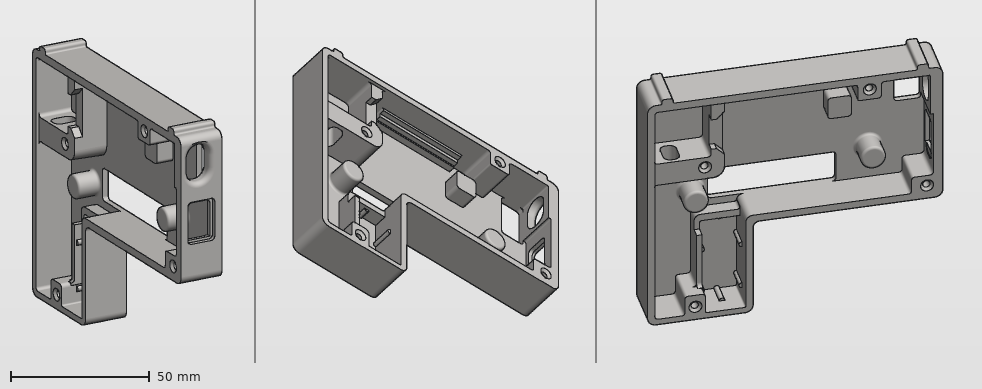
import cadquery as cq
import math


width = 109.6
body_height = 95.3
tab_top = 97.41
depth = 16.97
back_thickness = 2.4
floor_y = depth - back_thickness

leg_width = 39.2
arm_bottom = 39.0
outer_radius = 3.1
elbow_radius = 2.3

left_inner = 2.7
bottom_inner = 2.37
top_inner = 92.25
leg_right_inner = 36.5
arm_bottom_inner = 41.93
right_inner_upper = 104.9
right_inner_lower = 106.15
right_wall_step_z = 75.35
elbow_inner_radius = 2.5
large_inner_radius = 1.5
inner_radius = 1.2
small_inner_radius = 0.6

leg_boss_left, leg_boss_right, leg_boss_top = 13.8, 21.5, 10.56
arm_boss_left, arm_boss_top = 97.95, 48.9
top_boss_left, top_boss_right, top_boss_bottom = 78.0, 86.75, 85.4

screw_mouth_radius = 2.4
screw_bore_radius = 1.35
screw_mouth_depth = 1.05
screw_blind_depth = 9.0
screw_tip_depth = 0.8

box_front = 1.3
box_right = 28.87
box_bottom_front = 59.7
box_bottom_back = 58.8
box_corner_start_z = 64.1
box_flare = 1.1
box_pocket_right, box_pocket_bottom = 23.9, 68.9
box_pocket_radius = 1.4
notch_y = 4.6
notch_bottom, notch_top = 72.15, 84.9
notch_straight_end = 25.9
cable_slot_x = (7.0, 13.0)
cable_slot_y = (2.8, 12.0)
cable_slot_radius = 2.5

screw_holes = (
    (17.73, 5.57, 0, False),
    (103.7, 44.6, 0, False),
    (82.46, 89.7, 0, True),
    (21.64, 64.7, box_front, True),
)

partition_left = 19.5
partition_top, partition_inner_top = 39.0, 36.2
partition_outer_radius, partition_inner_radius = 2.5, 0.9
partition_low_y = 9.3
partition_high_y = 5.4
partition_high_top = 32.7
partition_flare = 1.0
partition_foot_radius = 1.4
rib_radius = 1.05
rib_front = 6.2
short_rib_front = 10.5
rib_heights = (7.9, 25.7)
rib_centre_x = 29.1

peg_centres = ((19.53, 46.67), (85.28, 55.57))
peg_radius = 4.6
peg_blend = 1.0
peg_tip_y = 5.75
pad_left, pad_right, pad_bottom, pad_top = 68.8, 77.65, 73.75, 82.7
pad_front, pad_radius = 8.0, 1.4

ledge_left, ledge_right = 34.85, 70.8
ledge_end_flare = 0.4
ledge_steps = ((91.1, 8.0), (89.6, 10.0), (88.8, 12.0))

window_radius = 1.3
display_window = (25.8, 73.4, arm_bottom_inner, 54.55)
corner_window = (94.95, right_inner_upper, 73.1, top_inner)
side_hole_y, side_hole_radius = 7.5, 4.6
side_hole_centres_z = (81.9, 87.0)
side_hole_outer_blend = 2.0
port_y = (3.9, 12.95)
port_z = (55.2, 69.4)
port_radius = 1.5
port_plate_thickness = 1.65
port_outer_margin = 1.0
port_recess_y = (3.9, 11.5)
port_recess_bottom = 52.2
port_recess_radius = 2.4
port_recess_depth = 0.3

weld = 1.0
coincident = 1e-6

tab_width = 4.2
tab_centre_offset = 7.4
tab_tip_radius = 1.0
tab_base_radius = 0.65


def rounded_outline(corners, y):
    """Closed wire of (x, z, radius) corners in the XZ plane at the given y."""
    count = len(corners)
    ends = []
    for i, (x, z, radius) in enumerate(corners):
        x_prev, z_prev, _ = corners[i - 1]
        x_next, z_next, _ = corners[(i + 1) % count]
        to_prev = math.atan2(z_prev - z, x_prev - x)
        to_next = math.atan2(z_next - z, x_next - x)
        half = abs(math.remainder(to_next - to_prev, 2 * math.pi)) / 2
        setback = radius / math.tan(half)
        start = (x + setback * math.cos(to_prev), z + setback * math.sin(to_prev))
        end = (x + setback * math.cos(to_next), z + setback * math.sin(to_next))
        bisector = to_prev + math.remainder(to_next - to_prev, 2 * math.pi) / 2
        reach = radius / math.sin(half) - radius
        middle = (x + reach * math.cos(bisector), z + reach * math.sin(bisector))
        ends.append((radius, start, middle, end))
    sketch = cq.Workplane("XZ", origin=(0, y, 0)).moveTo(*ends[0][3])
    last = ends[0][3]
    for radius, start, middle, end in ends[1:] + ends[:1]:
        if math.dist(last, start) > coincident:
            sketch = sketch.lineTo(*start)
        last = end
        if radius > 0:
            sketch = sketch.threePointArc(middle, end)
    return sketch.close()


def prism(corners, y_front, y_back):
    """Rounded outline extruded towards +Y from y_front to y_back."""
    return rounded_outline(corners, y_front).extrude(y_front - y_back)


def block(x0, x1, z0, z1, y_front, y_back, radius=0):
    corners = [(x0, z0, radius), (x1, z0, radius), (x1, z1, radius), (x0, z1, radius)]
    return prism(corners, y_front, y_back)


def cylinder_y(x, z, radius, y_front, y_back):
    start = cq.Workplane("XZ", origin=(x, y_front, z))
    return start.circle(radius).extrude(y_front - y_back)


def shell():
    """Outer walls and back plate, with three of the screw bosses in the walls."""
    outer = prism([
        (0, 0, outer_radius),
        (leg_width, 0, outer_radius),
        (leg_width, arm_bottom, elbow_radius),
        (width, arm_bottom, outer_radius),
        (width, body_height, outer_radius),
        (0, body_height, outer_radius),
    ], 0, depth)
    cavity = prism([
        (left_inner, bottom_inner, inner_radius),
        (leg_boss_left, bottom_inner, inner_radius),
        (leg_boss_left, leg_boss_top, inner_radius),
        (leg_boss_right, leg_boss_top, large_inner_radius),
        (leg_boss_right, bottom_inner, small_inner_radius),
        (leg_right_inner, bottom_inner, small_inner_radius),
        (leg_right_inner, arm_bottom_inner, elbow_inner_radius),
        (arm_boss_left, arm_bottom_inner, inner_radius),
        (arm_boss_left, arm_boss_top, inner_radius),
        (right_inner_lower, arm_boss_top, large_inner_radius),
        (right_inner_lower, right_wall_step_z, small_inner_radius),
        (right_inner_upper, right_wall_step_z, 0),
        (right_inner_upper, top_inner, small_inner_radius),
        (top_boss_right, top_inner, inner_radius),
        (top_boss_right, top_boss_bottom, inner_radius),
        (top_boss_left, top_boss_bottom, small_inner_radius),
        (top_boss_left, top_inner, inner_radius),
        (left_inner, top_inner, inner_radius),
    ], 0, floor_y)
    return outer.cut(cavity)


def tab(centre_x):
    left = centre_x - tab_width / 2
    right = centre_x + tab_width / 2
    root = body_height - weld
    return prism([
        (left - tab_base_radius, root, 0),
        (right + tab_base_radius, root, 0),
        (right + tab_base_radius, body_height, 0),
        (right, body_height, tab_base_radius),
        (right, tab_top, tab_tip_radius),
        (left, tab_top, tab_tip_radius),
        (left, body_height, tab_base_radius),
        (left - tab_base_radius, body_height, 0),
    ], 0, depth)


def corner_box():
    """Compartment block whose underside slopes down towards the back plate."""
    def outline(y, bottom):
        return rounded_outline([
            (left_inner - weld, top_inner + weld, 0),
            (left_inner - weld, bottom - box_flare, 0),
            (left_inner, bottom - box_flare, 0),
            (left_inner, bottom, box_flare),
            (box_right, bottom, box_corner_start_z - bottom),
            (box_right, top_inner, box_flare),
            (box_right + box_flare, top_inner, 0),
            (box_right + box_flare, top_inner + weld, 0),
        ], y).wire().val()

    front = outline(box_front, box_bottom_front)
    back = outline(floor_y, box_bottom_back)
    return cq.Workplane(cq.Solid.makeLoft([front, back], True))


def corner_box_cuts():
    """Pocket, side notch and cable slot of the corner compartment."""
    pocket = block(left_inner, box_pocket_right, box_pocket_bottom, top_inner,
                   box_front, floor_y, box_pocket_radius)
    flare = box_right - notch_straight_end
    notch = prism([
        (box_pocket_right - weld, notch_bottom, 0),
        (notch_straight_end, notch_bottom, 0),
        (box_right, notch_bottom - flare, 0),
        (box_right, notch_top + flare, 0),
        (notch_straight_end, notch_top, 0),
        (box_pocket_right - weld, notch_top, 0),
    ], box_front, notch_y)
    x0, x1 = cable_slot_x
    y0, y1 = cable_slot_y
    slot = (
        cq.Workplane("XY", origin=((x0 + x1) / 2, (y0 + y1) / 2, box_bottom_back - weld))
        .rect(x1 - x0, y1 - y0)
        .extrude(box_pocket_bottom - box_bottom_back + 2 * weld)
        .edges("|Z").fillet(cable_slot_radius)
    )
    return pocket.union(notch).union(slot)


def leg_partition():
    """Two-level wall around the leg compartment, blended into the leg boss."""
    low = prism([
        (leg_right_inner + weld, partition_inner_top, 0),
        (leg_right_inner + weld, partition_top + partition_flare, 0),
        (leg_right_inner, partition_top + partition_flare, 0),
        (leg_right_inner, partition_top, partition_flare),
        (partition_left, partition_top, partition_outer_radius),
        (partition_left, leg_boss_top - weld, 0),
        (leg_boss_right, leg_boss_top - weld, 0),
        (leg_boss_right, partition_inner_top, partition_inner_radius),
    ], partition_low_y, floor_y)
    high = prism([
        (leg_boss_right, leg_boss_top - weld, 0),
        (leg_boss_right, partition_high_top, 0),
        (partition_left, partition_high_top, 0),
        (partition_left, leg_boss_top, partition_foot_radius),
        (partition_left - partition_foot_radius, leg_boss_top, 0),
        (partition_left - partition_foot_radius, leg_boss_top - weld, 0),
    ], partition_high_y, floor_y)
    foot_front = partition_high_y - partition_foot_radius
    foot_top = leg_boss_top + partition_foot_radius
    foot = (
        cq.Workplane("YZ", origin=(partition_left, 0, 0))
        .moveTo(foot_front, leg_boss_top)
        .radiusArc((partition_high_y, foot_top), -partition_foot_radius)
        .lineTo(partition_high_y + weld, foot_top)
        .lineTo(partition_high_y + weld, leg_boss_top - weld)
        .lineTo(foot_front, leg_boss_top - weld)
        .close()
        .extrude(leg_boss_right - partition_left)
    )
    return low.union(high).union(foot)


def leg_ribs():
    """Half-round crush ribs around the walls of the leg compartment."""
    centres = [(x, z) for x in (leg_boss_right, leg_right_inner) for z in rib_heights]
    centres += [(rib_centre_x, bottom_inner), (rib_centre_x, partition_inner_top)]
    ribs = cq.Workplane()
    for x, z in centres:
        front = short_rib_front if z == partition_inner_top else rib_front
        ribs = ribs.add(cylinder_y(x, z, rib_radius, front, floor_y))
    return ribs.combine()


def peg(x, z):
    """Round peg with a fillet at its base and a rounded tip."""
    base = floor_y - peg_blend
    tip = peg_tip_y + peg_blend
    flat = peg_radius - peg_blend
    turn = peg_blend * math.sqrt(0.5)
    return (
        cq.Workplane("XY")
        .moveTo(0, floor_y + weld)
        .lineTo(peg_radius + peg_blend, floor_y + weld)
        .lineTo(peg_radius + peg_blend, floor_y)
        .threePointArc((peg_radius + peg_blend - turn, base + turn), (peg_radius, base))
        .lineTo(peg_radius, tip)
        .threePointArc((flat + turn, tip - turn), (flat, peg_tip_y))
        .lineTo(0, peg_tip_y)
        .close()
        .revolve(360, (0, 0), (0, 1))
        .translate((x, 0, z))
    )


def ledge():
    """Stepped ledge; its ends blend into the top wall."""
    top = top_inner + weld
    root_left = ledge_left - ledge_end_flare
    root_right = ledge_right + ledge_end_flare
    steps = cq.Workplane()
    for lower_edge, front in ledge_steps:
        steps = steps.add(prism([
            (ledge_left, lower_edge, 0),
            (ledge_right, lower_edge, 0),
            (ledge_right, top_inner, ledge_end_flare),
            (root_right, top_inner, 0),
            (root_right, top, 0),
            (root_left, top, 0),
            (root_left, top_inner, 0),
            (ledge_left, top_inner, ledge_end_flare),
        ], front, floor_y))
    return steps.combine()


def screw_hole(x, z, front, through):
    """Countersunk bore, either through the back plate or blind with a conical tip."""
    end = depth if through else front + screw_blind_depth
    mouth_end = front + screw_mouth_depth
    tip = end if through else end + screw_tip_depth
    return (
        cq.Workplane("XY")
        .moveTo(0, front)
        .lineTo(screw_mouth_radius, front)
        .lineTo(screw_bore_radius, mouth_end)
        .lineTo(screw_bore_radius, end)
        .lineTo(0, tip)
        .close()
        .revolve(360, (0, 0), (0, 1))
        .translate((x, 0, z))
    )


def block_x(y_range, z_range, x0, x1):
    """Block running along X between two (low, high) ranges of Y and Z."""
    (y0, y1), (z0, z1) = y_range, z_range
    start = cq.Workplane("YZ", origin=(x0, (y0 + y1) / 2, (z0 + z1) / 2))
    return start.rect(y1 - y0, z1 - z0).extrude(x1 - x0)


def side_hole():
    """Upright obround hole through the right wall, rounded over at its outer end."""
    blend = side_hole_outer_blend
    turn = blend * math.sqrt(0.5)
    inner_end = right_inner_upper - weld
    blend_start = width - blend
    mouth = side_hole_radius + blend
    low_z, high_z = side_hole_centres_z

    def half_section():
        return (
            cq.Workplane("XY")
            .moveTo(inner_end, 0)
            .lineTo(inner_end, side_hole_radius)
            .lineTo(blend_start, side_hole_radius)
            .threePointArc((blend_start + turn, mouth - turn), (width, mouth))
            .lineTo(width, 0)
            .close()
        )

    half_middle = half_section().extrude(high_z - low_z)
    round_end = half_section().revolve(360, (0, 0), (1, 0))
    hole = half_middle.union(half_middle.mirror("XZ"))
    hole = hole.union(round_end).union(round_end.translate((0, 0, high_z - low_z)))
    return hole.translate((0, side_hole_y, low_z))


def side_port():
    """Connector port: shallow inner recess, thin plate with an opening, outer relief."""
    z0, z1 = port_z
    inner_end = right_inner_lower - weld
    plate_end = right_inner_lower + port_plate_thickness
    recess_end = right_inner_lower + port_recess_depth
    opening = block_x(port_y, port_z, inner_end, plate_end).edges("|X and >Z").fillet(port_radius)
    recess = block_x(port_recess_y, (port_recess_bottom, z0 + weld), inner_end, recess_end)
    recess = recess.edges("|X and <Z").fillet(port_recess_radius)
    relief_y = (port_y[0] - port_outer_margin, port_y[1] + port_outer_margin)
    relief_z = (z0 - port_outer_margin, z1 + port_outer_margin)
    relief = block_x(relief_y, relief_z, plate_end, width + weld).edges("|X").fillet(port_radius)
    return opening.union(recess).union(relief)


result = shell()
for tab_x in (tab_centre_offset, width - tab_centre_offset):
    result = result.union(tab(tab_x))

result = result.union(corner_box()).cut(corner_box_cuts())
result = result.union(leg_partition()).union(leg_ribs()).union(ledge())
for peg_x, peg_z in peg_centres:
    result = result.union(peg(peg_x, peg_z))
result = result.union(block(pad_left, pad_right, pad_bottom, pad_top, pad_front, floor_y, pad_radius))

for window in (display_window, corner_window):
    result = result.cut(block(*window, floor_y, depth, window_radius))
result = result.cut(side_hole()).cut(side_port())
for hole_x, hole_z, hole_front, is_through in screw_holes:
    result = result.cut(screw_hole(hole_x, hole_z, hole_front, is_through))